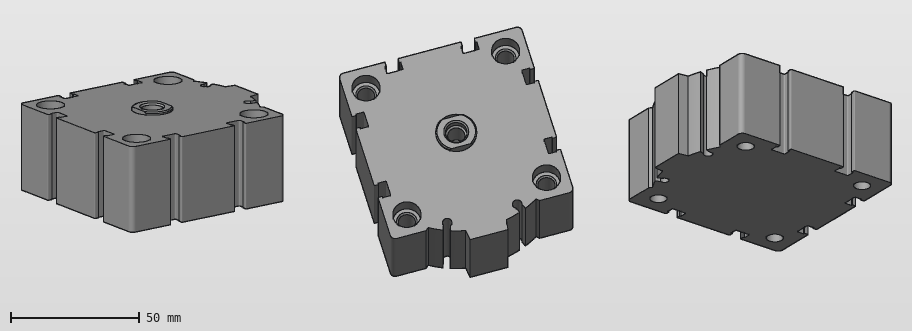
import cadquery as cq
import math

block_width = 74.0
block_height = 34.8
corner_radius = 2.0
half_width = block_width / 2

overall_depth = 82.5
crown_radius = 42.1
crown_half_width = 21.9
crown_relief_half_width = 23.0
tab_y = overall_depth - half_width
tab_tip_half_width = 7.7
tab_root_half_width = 8.25

sensor_groove_diameter = 3.6
sensor_groove_neck = 2.8
sensor_groove_radius = 38.7
sensor_groove_angle = 21.5

slot_offset = 15.4
slot_mouth_width = 5.3
slot_inner_width = 6.5
slot_depth = 5.0
slot_lip_depth = 1.8
slot_floor_radius = 0.4
slot_mouth_rounding = 0.3

mount_offset = 28.3
mount_hole_diameter = 6.7
mount_counterbore_diameter = 11.0
mount_counterbore_depth = 6.5
mount_countersink_diameter = 8.0

rod_diameter = 16.0
rod_projection = 1.15
rod_length = 24.75
rod_chamfer = 0.5
rod_flat_width = 13.0
rod_flat_length = 4.95

rod_mouth_diameter = 9.7
rod_counterbore_diameter = 8.4
rod_counterbore_depth = 3.3
rod_hole_diameter = 6.7
rod_hole_depth = 14.85
drill_point_angle = 118.0

rod_top = block_height + rod_projection
rod_bottom = rod_top - rod_length


def arc_y(x):
    """Y of the crown arc at a given X."""
    return math.sqrt(crown_radius**2 - x**2)


def drill_point_height(radius):
    """Height of a cone of the drill point angle over a given change in radius."""
    return radius / math.tan(math.radians(drill_point_angle / 2))


def vertical_cylinder(diameter, bottom, top, x=0.0, y=0.0):
    """Cylinder along Z between two heights."""
    return cq.Workplane("XY", origin=(x, y, bottom)).circle(diameter / 2).extrude(top - bottom)


def make_block():
    """Square block with rounded vertical corners."""
    block = cq.Workplane("XY").rect(block_width, block_width).extrude(block_height)
    return block.edges("|Z").fillet(corner_radius)


def make_crown():
    """Arc-topped band with the tab, reaching past the +Y face of the block."""
    mid_x = (crown_half_width + tab_root_half_width) / 2
    return (
        cq.Workplane("XY")
        .moveTo(-crown_half_width, 0)
        .lineTo(-crown_half_width, arc_y(crown_half_width))
        .threePointArc((-mid_x, arc_y(mid_x)), (-tab_root_half_width, arc_y(tab_root_half_width)))
        .lineTo(-tab_tip_half_width, tab_y)
        .lineTo(tab_tip_half_width, tab_y)
        .lineTo(tab_root_half_width, arc_y(tab_root_half_width))
        .threePointArc((mid_x, arc_y(mid_x)), (crown_half_width, arc_y(crown_half_width)))
        .lineTo(crown_half_width, 0)
        .close()
        .extrude(block_height)
    )


def make_crown_relief():
    """Shallow recess in the +Y face of the block, sloping down to the ends of the crown."""
    return (
        cq.Workplane("XY")
        .moveTo(-crown_relief_half_width, half_width)
        .lineTo(-crown_half_width, arc_y(crown_half_width))
        .lineTo(crown_half_width, arc_y(crown_half_width))
        .lineTo(crown_relief_half_width, half_width)
        .close()
        .extrude(block_height)
    )


def make_sensor_groove(side):
    """Keyhole groove: a round channel with a neck opening outward through the crown."""
    channel = vertical_cylinder(sensor_groove_diameter, 0, block_height, y=sensor_groove_radius)
    neck_length = tab_y - sensor_groove_radius
    neck = (
        cq.Workplane("XY")
        .center(0, sensor_groove_radius + neck_length / 2)
        .rect(sensor_groove_neck, neck_length)
        .extrude(block_height)
    )
    return channel.union(neck).rotate((0, 0, 0), (0, 0, 1), -side * sensor_groove_angle)


def make_t_slot(offset):
    """T-slot cutter opening through the -Y side at a given X, with a rounded mouth."""
    lip_y = slot_lip_depth - half_width
    floor_y = slot_depth - half_width
    edge_y = slot_mouth_rounding - half_width
    half_mouth = slot_mouth_width / 2
    half_flare = half_mouth + slot_mouth_rounding
    mouth = (
        cq.Workplane("XY")
        .center(offset, 0)
        .moveTo(half_mouth, lip_y)
        .lineTo(half_mouth, edge_y)
        .radiusArc((half_flare, -half_width), -slot_mouth_rounding)
        .lineTo(-half_flare, -half_width)
        .radiusArc((-half_mouth, edge_y), -slot_mouth_rounding)
        .lineTo(-half_mouth, lip_y)
        .close()
        .extrude(block_height)
    )
    chamber = (
        cq.Workplane("XY")
        .center(offset, (lip_y + floor_y) / 2)
        .rect(slot_inner_width, floor_y - lip_y)
        .extrude(block_height)
        .edges("|Z and >Y")
        .fillet(slot_floor_radius)
    )
    return mouth.union(chamber)


def make_mount_hole(x, y):
    """Counterbored through hole with a countersink at the counterbore floor."""
    floor = block_height - mount_counterbore_depth
    countersink = (mount_countersink_diameter - mount_hole_diameter) / 2
    hole = vertical_cylinder(mount_hole_diameter, 0, floor, x, y)
    cone = cq.Workplane(
        cq.Solid.makeCone(
            mount_hole_diameter / 2,
            mount_countersink_diameter / 2,
            countersink,
            pnt=cq.Vector(x, y, floor - countersink),
        )
    )
    counterbore = vertical_cylinder(mount_counterbore_diameter, floor, block_height, x, y)
    return hole.union(cone).union(counterbore)


def make_housing():
    """Housing with its grooves, slots, mounting holes and rod bore."""
    housing = make_block().cut(make_crown_relief()).union(make_crown())
    for side in (-1, 1):
        housing = housing.cut(make_sensor_groove(side))
    for turn in (-90, 0, 90):
        for offset in (-slot_offset, slot_offset):
            housing = housing.cut(make_t_slot(offset).rotate((0, 0, 0), (0, 0, 1), turn))
    for x in (-mount_offset, mount_offset):
        for y in (-mount_offset, mount_offset):
            housing = housing.cut(make_mount_hole(x, y))
    return housing.cut(vertical_cylinder(rod_diameter, rod_bottom, block_height))


def make_rod_hole():
    """Stepped hole in the rod end: chamfered mouth, counterbore and drilled hole."""
    mouth = rod_mouth_diameter / 2
    counterbore = rod_counterbore_diameter / 2
    hole = rod_hole_diameter / 2
    mouth_bottom = rod_top - (mouth - counterbore)
    counterbore_bottom = rod_top - rod_counterbore_depth
    step_bottom = counterbore_bottom - drill_point_height(counterbore - hole)
    hole_bottom = rod_top - rod_hole_depth
    profile = [
        (0, rod_top),
        (mouth, rod_top),
        (counterbore, mouth_bottom),
        (counterbore, counterbore_bottom),
        (hole, step_bottom),
        (hole, hole_bottom),
        (0, hole_bottom - drill_point_height(hole)),
    ]
    return cq.Workplane("XZ").polyline(profile).close().revolve(360, (0, 0), (0, 1))


def make_piston_rod():
    """Round rod with a chamfered end, two wrench flats and the end hole."""
    rod = vertical_cylinder(rod_diameter, rod_bottom, rod_top).faces(">Z").chamfer(rod_chamfer)
    flat_cut_depth = (rod_diameter - rod_flat_width) / 2
    for side in (-1, 1):
        flat_cut = cq.Workplane("XY").box(rod_diameter, flat_cut_depth, rod_flat_length)
        flat_y = side * (rod_flat_width + flat_cut_depth) / 2
        rod = rod.cut(flat_cut.translate((0, flat_y, rod_top - rod_flat_length / 2)))
    return rod.cut(make_rod_hole())


housing = make_housing()
piston_rod = make_piston_rod()

result = cq.Compound.makeCompound([housing.val(), piston_rod.val()])